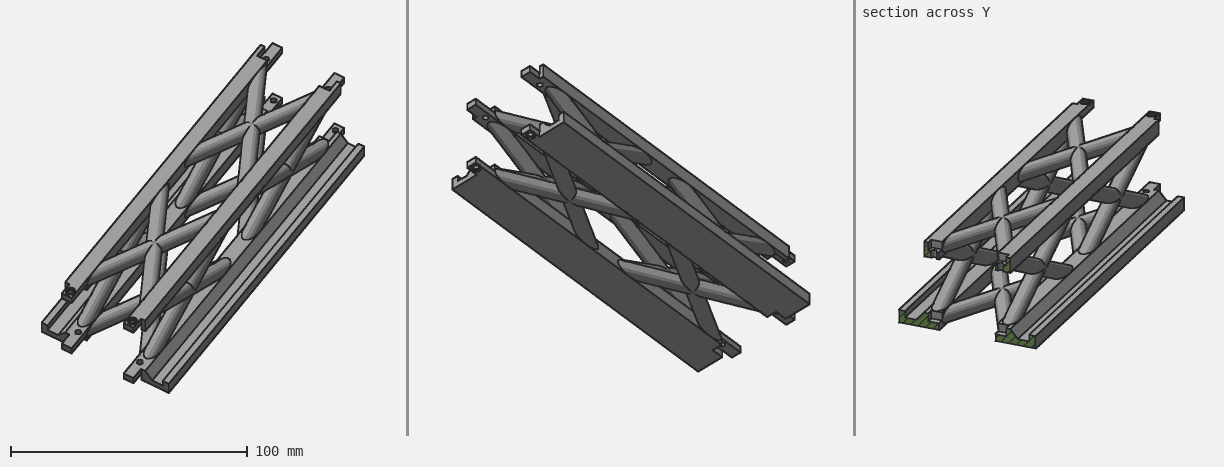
import cadquery as cq
frame_width = 40.0
rail_size = 7.0
body_length = 155.0
overall_width = 63.5

lap_reach = 6.0
notch_width = 5.0
tab_width = 4.9
plain_tab_height = 3.4
head_tab_height = 3.3
pin_hole_diameter = 2.5
pin_head_diameter = 4.0
pin_head_depth = 1.0

lip_width = 3.0
lip_height = 6.0
floor_thickness = 3.0
slope_width = 3.5

strut_diameter = 7.0
bays = 2
strut_end_margin = rail_size

half_rail = rail_size / 2
frame_half = frame_width / 2
body_half = body_length / 2
rail_axis = frame_half - half_rail
rail_inner = frame_half - rail_size
bay_length = body_length / bays
strut_half_rise = bay_length / 2 - strut_end_margin


def block(x_range, y_range, z_range):
    """Axis-aligned box between two limits on each axis."""
    size = [high - low for low, high in (x_range, y_range, z_range)]
    corner = cq.Vector(x_range[0], y_range[0], z_range[0])
    return cq.Workplane("XY").box(*size, centered=False).translate(corner)


def pin_hole(y, z, diameter, depth):
    """Upright cylinder at the middle of the tab width, starting at height z."""
    tab_centre = rail_inner + tab_width / 2
    return cq.Workplane("XY", origin=(tab_centre, y, z)).circle(diameter / 2).extrude(depth)


def rail():
    """Right-hand rail centred on Z = 0: low plain tab at the back, high head tab at the front."""
    tab_x = (rail_inner, rail_inner + tab_width)
    back_y = (body_half, body_half + lap_reach)
    front_y = (-body_half - lap_reach, -body_half)
    bar = block((rail_inner, frame_half), (-body_half, body_half), (-half_rail, half_rail))
    plain_tab = block(tab_x, back_y, (-half_rail, plain_tab_height - half_rail))
    head_tab = block(tab_x, front_y, (half_rail - head_tab_height, half_rail))
    return bar.union(plain_tab).union(head_tab)


def rail_cuts():
    """Notches and pin holes for the ends of the rail made by rail()."""
    notch_x = (rail_inner, rail_inner + notch_width)
    back_y = (body_half - lap_reach, body_half)
    front_y = (-body_half, -body_half + lap_reach)
    back_notch = block(notch_x, back_y, (plain_tab_height - half_rail, half_rail))
    front_notch = block(notch_x, front_y, (-half_rail, half_rail - head_tab_height))
    cuts = back_notch.union(front_notch)

    back_hole_y = body_half - lap_reach / 2
    front_hole_y = -body_half - lap_reach / 2
    for y in (back_hole_y, front_hole_y):
        cuts = cuts.union(pin_hole(y, -half_rail, pin_hole_diameter, rail_size))
    head_z = half_rail - pin_head_depth
    return cuts.union(pin_hole(front_hole_y, head_z, pin_head_diameter, pin_head_depth))


def top_and_bottom(shape):
    """Place a rail shape at the top, and turned over end for end at the bottom."""
    top = shape.translate((0, 0, frame_width - half_rail))
    bottom = shape.rotate((0, 0, 0), (1, 0, 0), 180).translate((0, 0, half_rail))
    return top.union(bottom)


def both_sides(shape):
    """A right-hand shape together with its mirror image on the left."""
    return shape.union(shape.mirror("YZ"))


def channel():
    """Open-topped channel along the outside of the right-hand bottom rail."""
    outer = overall_width / 2
    return (
        cq.Workplane("XZ", origin=(0, body_half, 0))
        .moveTo(frame_half, 0)
        .lineTo(outer, 0)
        .lineTo(outer, lip_height)
        .lineTo(outer - lip_width, lip_height)
        .lineTo(outer - lip_width, floor_thickness)
        .lineTo(frame_half + slope_width, floor_thickness)
        .lineTo(frame_half, rail_size)
        .close()
        .extrude(body_length)
    )


def strut_cross(centre_y):
    """Two struts crossing at centre_y in the plane Z = 0, running between the rail axes."""
    cross = cq.Workplane("XY")
    for side in (-1, 1):
        start = cq.Vector(-rail_axis, centre_y - side * strut_half_rise, 0)
        end = cq.Vector(rail_axis, centre_y + side * strut_half_rise, 0)
        span = end - start
        cross = cross.union(
            cq.Workplane(cq.Solid.makeCylinder(strut_diameter / 2, span.Length, start, span))
        )
    return cross


def strut_panel():
    """One crossing per bay, lying in the plane Z = 0."""
    panel = cq.Workplane("XY")
    for bay in range(bays):
        panel = panel.union(strut_cross((bay + 0.5) * bay_length - body_half))
    return panel


def lattice():
    """Strut panels on all four sides of the frame."""
    frame = cq.Workplane("XY")
    for quarter in range(4):
        side = strut_panel().translate((0, 0, rail_axis))
        frame = frame.union(side.rotate((0, 0, 0), (0, 1, 0), quarter * 90))
    return frame.translate((0, 0, frame_half))


rails = top_and_bottom(rail()).union(channel())
result = both_sides(rails).union(lattice()).cut(both_sides(top_and_bottom(rail_cuts())))